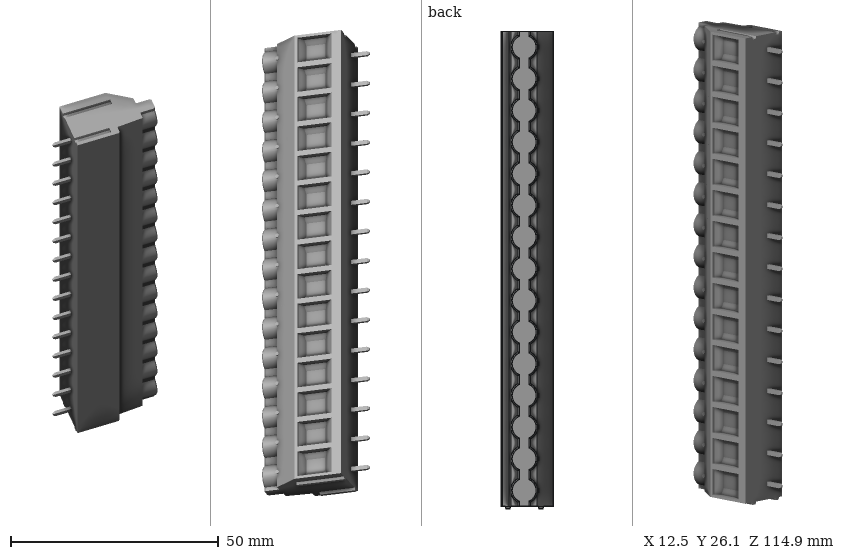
import cadquery as cq

pole_count = 15
total_length = 114.9
rib_height = 0.63
body_length = total_length - rib_height
pitch = body_length / pole_count
body_width = 12.5
body_depth = 21.5

shelf_y = 17.6
shelf_left_x = 3.9
shelf_right_x = 10.2
left_wall_y = 11.8
step_x = 10.7
step_y = 10.9
step_chamfer = 0.3

tower_radius = 3.2
tower_x = 7.0
web_half_width = 1.5
tower_sink = 1.1
top_chamfer = 0.3

bump_radius = 0.5
bump_y = 17.5
bump_tip_x = 3.5

entry_height = 6.3
entry_y_low = 2.4
entry_y_high = 11.0
entry_wall_depth = 0.7
entry_depth = 2.4
floor_y_low = 4.7
floor_y_high = 9.7
floor_height = 3.3
floor_slope_depth = 0.5

rib_base_width = 1.4
rib_tip_width = 0.9
left_rib_x = 3.0
left_rib_length = 12.2
right_rib_x = 10.9
right_rib_length = 9.0

pin_x = 7.8
pin_width = 0.8
pin_height = 1.0
pin_length = 4.6
pin_tip_length = 0.6
pin_tip_scale = 0.5


def make_housing():
    outline = [
        (0, 0),
        (body_width, 0),
        (body_width, step_y - step_chamfer),
        (body_width - step_chamfer, step_y),
        (step_x, step_y),
        (shelf_right_x, shelf_y),
        (shelf_left_x, shelf_y),
        (0, left_wall_y),
    ]
    return cq.Workplane("XY").polyline(outline).close().extrude(body_length)


def make_web():
    return (
        cq.Workplane("XY")
        .box(2 * web_half_width, body_depth, body_length, centered=(True, False, False))
        .edges("|Z and >Y")
        .chamfer(top_chamfer)
        .translate((tower_x, 0, 0))
    )


def make_tower(z):
    base_y = shelf_y - tower_sink
    return (
        cq.Workplane("XZ", origin=(tower_x, base_y, z))
        .circle(tower_radius)
        .extrude(base_y - body_depth)
        .faces(">Y")
        .chamfer(top_chamfer)
    )


def make_bump(z):
    return (
        cq.Workplane("YZ", origin=(bump_tip_x, bump_y, z))
        .circle(bump_radius)
        .extrude(tower_x - bump_tip_x)
    )


def make_wire_entry(z):
    """Cavity bounded by its lengthwise profile and its vertical profile."""
    lengthwise = (
        cq.Workplane("XY", origin=(0, 0, z))
        .polyline([
            (0, entry_y_low),
            (entry_depth, floor_y_low),
            (entry_depth, floor_y_high),
            (entry_wall_depth, entry_y_high),
            (0, entry_y_high),
        ])
        .close()
        .extrude(entry_height / 2, both=True)
    )
    wall_end_x = entry_depth - floor_slope_depth
    vertical = (
        cq.Workplane("XZ", origin=(0, 0, z))
        .polyline([
            (0, -entry_height / 2),
            (wall_end_x, -entry_height / 2),
            (entry_depth, -floor_height / 2),
            (entry_depth, floor_height / 2),
            (wall_end_x, entry_height / 2),
            (0, entry_height / 2),
        ])
        .close()
        .extrude(-body_depth)
    )
    return lengthwise.intersect(vertical)


def make_rib(x, length, z):
    """Tapered bar whose wide side lies at height z and whose narrow side faces down."""
    half_base = rib_base_width / 2
    half_tip = rib_tip_width / 2
    return (
        cq.Workplane("XZ", origin=(x, 0, z))
        .polyline([
            (-half_base, 0),
            (half_base, 0),
            (half_tip, -rib_height),
            (-half_tip, -rib_height),
        ])
        .close()
        .extrude(-length)
    )


def make_pin(z):
    shank_length = pin_length - pin_tip_length
    shank = cq.Workplane("XZ", origin=(pin_x, 0, z)).rect(pin_width, pin_height).extrude(shank_length)
    tip = (
        cq.Workplane("XZ", origin=(pin_x, -shank_length, z))
        .rect(pin_width, pin_height)
        .workplane(offset=pin_tip_length)
        .rect(pin_width * pin_tip_scale, pin_height * pin_tip_scale)
        .loft()
    )
    return shank.union(tip)


result = make_housing().union(make_web())

for pole in range(pole_count):
    pole_z = (pole + 0.5) * pitch
    result = result.union(make_tower(pole_z)).union(make_bump(pole_z)).union(make_pin(pole_z))
    result = result.cut(make_wire_entry(pole_z))

for rib_x, rib_length in ((left_rib_x, left_rib_length), (right_rib_x, right_rib_length)):
    result = result.union(make_rib(rib_x, rib_length, 0))
    result = result.cut(make_rib(rib_x, rib_length, body_length))